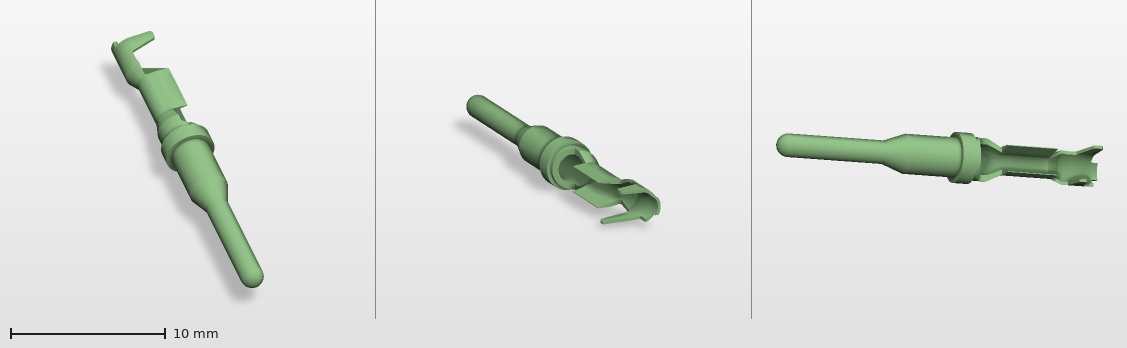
import cadquery as cq
import math


total_length = 22.8
locating_tab_end = 0.48
insulation_end = 2.75
wire_start = 3.67
wire_end = 7.15
shell_start = 8.19
collar_start = 9.46
collar_end = 10.49
body_end = 13.95
pin_start = 15.45

collar_radius = 3.3 / 2
body_radius = 2.6 / 2
body_bore_radius = 2.0 / 2
pin_radius = 1.53 / 2
pin_bore_radius = 0.93 / 2
dome_start = total_length - pin_radius

insulation_wall = 0.2
wire_wall = 0.3
insulation_radius, insulation_center = 1.16, -0.45
wire_radius, wire_center = 0.9, -0.25
shell_radius, shell_center = 1.41, 0.0
shell_wall = shell_radius - body_bore_radius

wing_root = -0.52
insulation_wing_top = 1.62
insulation_wing_splay = 0.15
upper_wing_top = 1.0
wing_tip_radius = 0.23
low_wall = -0.78
wing_notch_start = 1.2
wing_notch_end = 1.66
upper_wing_tip_end = 1.12
lower_wing_tip_start = 1.87
lower_wing_end = 2.37
wire_wing_bend = 0.1
wire_wing_top = 1.0
wire_wing_splay = 0.1
wire_tip_outer_inset = 0.05
wire_tip_thickness = 0.05
locating_tab_half_width = 0.57

neck_edge = -0.7
neck_rise_length = 0.14
neck_rise_height = 0.07
seam_rise_start = 8.7
seam_rise_end = 9.19
seam_curve_mid = (8.91, 0.23)
seam_curve_end = (9.0, 0.57)
clearance = 2.28


def cross_section(x):
    return cq.Workplane("YZ", origin=(x, 0, 0))


def side_prism(points, z_start=-clearance, depth=2 * clearance):
    """Extrude an XY outline along Z."""
    return cq.Workplane("XY", origin=(0, 0, z_start)).polyline(points).close().extrude(depth)


def tube(start, end):
    """Straight or tapering tube between sections given as (X, radius, centre Y, wall)."""

    x_start, radius_start, center_start, wall_start = start
    x_end, radius_end, center_end, wall_end = end

    def loft(inset_start, inset_end):
        return (
            cross_section(x_start).center(center_start, 0).circle(radius_start - inset_start)
            .workplane(offset=x_end - x_start).center(center_end - center_start, 0)
            .circle(radius_end - inset_end).loft(ruled=True)
        )

    return loft(0, 0).cut(loft(wall_start, wall_end))


def channel(x_start, x_end, radius, center, wall, outer_wall, inner_wall):
    """U channel: arc floor, then wall points (Y, Z) from the root to the tip."""
    inner_radius = radius - wall
    outer_root = math.sqrt(radius**2 - (wing_root - center) ** 2)
    inner_root = math.sqrt(inner_radius**2 - (wing_root - center) ** 2)
    profile = (
        cross_section(x_start)
        .moveTo(wing_root, -outer_root)
        .threePointArc((center - radius, 0), (wing_root, outer_root))
    )
    for y, z in outer_wall:
        profile = profile.lineTo(y, outer_root + z)
    for y, z in reversed(inner_wall):
        profile = profile.lineTo(y, outer_root + z)
    profile = (
        profile.lineTo(wing_root, inner_root)
        .threePointArc((center - inner_radius, 0), (wing_root, -inner_root))
    )
    for y, z in inner_wall:
        profile = profile.lineTo(y, -outer_root - z)
    for y, z in reversed(outer_wall):
        profile = profile.lineTo(y, -outer_root - z)
    return profile.close().extrude(x_end - x_start)


def turned_section():
    """Collar, body and round-nosed pin with a stepped blind bore."""
    nose_mid = math.sqrt(1 / 2)

    def revolve_pin(start_profile, radius):
        return (
            start_profile.lineTo(pin_start, radius).lineTo(dome_start, radius)
            .threePointArc(
                (dome_start + radius * nose_mid, radius * nose_mid),
                (dome_start + radius, 0),
            )
            .close().revolve(360, (0, 0, 0), (1, 0, 0))
        )

    outer = (
        cq.Workplane("XY").moveTo(collar_start, 0)
        .lineTo(collar_start, collar_radius).lineTo(collar_end, collar_radius)
        .lineTo(collar_end, body_radius).lineTo(body_end, body_radius)
    )
    bore = (
        cq.Workplane("XY").moveTo(collar_start, 0)
        .lineTo(collar_start, body_bore_radius).lineTo(body_end, body_bore_radius)
    )
    return revolve_pin(outer, pin_radius).cut(revolve_pin(bore, pin_bore_radius))


def shell():
    """Half-open shell and taper, closing to a full ring at the collar."""
    taper = tube(
        (wire_end, wire_radius, wire_center, wire_wall),
        (shell_start, shell_radius, shell_center, shell_wall),
    )
    ring = tube(
        (shell_start, shell_radius, shell_center, shell_wall),
        (collar_start, shell_radius, shell_center, shell_wall),
    )
    opening = (
        cq.Workplane("XY", origin=(0, 0, -clearance))
        .moveTo(wire_end, 0).lineTo(seam_rise_start, 0)
        .threePointArc(seam_curve_mid, seam_curve_end)
        .lineTo(seam_rise_end, shell_radius).lineTo(seam_rise_end, clearance)
        .lineTo(wire_end, clearance).close().extrude(2 * clearance)
    )
    return taper.union(ring).cut(opening)


def wire_barrel():
    """Straight-sided crimp barrel with wing tips bevelled thin."""
    outer_tip = wire_wing_splay - wire_tip_outer_inset
    outer_wall = [(wire_wing_bend, wire_wing_splay), (wire_wing_top, outer_tip)]
    inner_wall = [
        (wire_wing_bend, wire_wing_splay - wire_wall),
        (wire_wing_top, outer_tip - wire_tip_thickness),
    ]
    return channel(wire_start, wire_end, wire_radius, wire_center, wire_wall, outer_wall, inner_wall)


def neck():
    """Low taper between the insulation crimp and the wire barrel."""
    cone = tube(
        (insulation_end, insulation_radius, insulation_center, insulation_wall),
        (wire_start, wire_radius, wire_center, wire_wall),
    )
    keep = side_prism([
        (insulation_end, -clearance), (wire_start, -clearance), (wire_start, wing_root),
        (wire_start - neck_rise_length, neck_edge + neck_rise_height), (insulation_end, neck_edge),
    ])
    return cone.intersect(keep)


def insulation_crimp():
    """Two staggered wings on opposite walls and a narrow floor tab."""
    walls = channel(
        0, insulation_end, insulation_radius, insulation_center, insulation_wall,
        [(insulation_wing_top, insulation_wing_splay)],
        [(insulation_wing_top, insulation_wing_splay - insulation_wall)],
    )
    upper = side_prism([
        (locating_tab_end, -clearance), (locating_tab_end, upper_wing_top),
        (upper_wing_tip_end, upper_wing_top), (wing_notch_end, low_wall), (lower_wing_end, low_wall),
        (insulation_end, neck_edge), (insulation_end, -clearance),
    ], 0, clearance)
    upper = upper.edges("|Z").edges(">Y").fillet(wing_tip_radius)
    lower = side_prism([
        (locating_tab_end, -clearance), (locating_tab_end, low_wall), (wing_notch_start, low_wall),
        (lower_wing_tip_start, insulation_wing_top), (lower_wing_end, insulation_wing_top),
        (lower_wing_end, wing_root),
        (insulation_end, neck_edge), (insulation_end, -clearance),
    ], -clearance, clearance)
    lower = lower.edges("|Z").edges(">Y").fillet(wing_tip_radius)
    tab = cq.Workplane("XY").box(
        locating_tab_end, clearance, 2 * locating_tab_half_width, centered=(False, False, True)
    ).translate((0, -clearance, 0))
    return walls.intersect(upper.union(lower).union(tab))


result = (
    turned_section()
    .union(shell())
    .union(wire_barrel())
    .union(neck())
    .union(insulation_crimp())
)